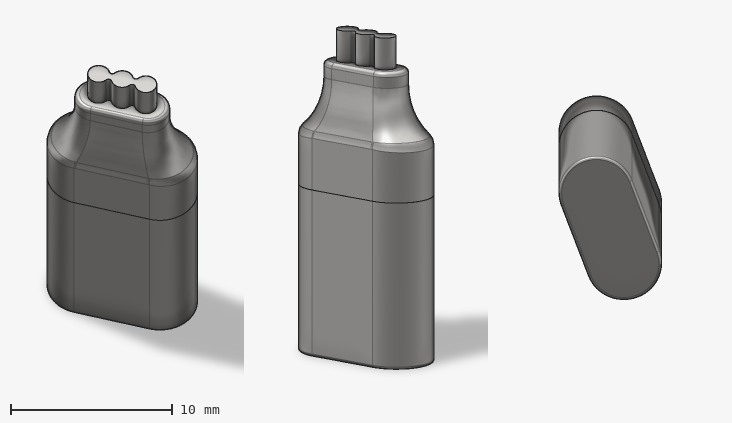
import cadquery as cq
import math

TOTAL_HEIGHT = 20.5

BODY_WIDTH = 9.5
BODY_DEPTH = 4.65

HOUSING_HEIGHT = 10.55
HOUSING_EDGE_RADIUS = 0.16

NECK_WIDTH = 6.0
NECK_DEPTH = 2.66
NECK_HEIGHT = 1.0
NECK_EDGE_RADIUS = 0.3
FLARE_HEIGHT = 3.4
FLARE_SECTIONS = 7
SHOULDER_RADIUS = 0.75

WIRE_DIAMETER = 1.35
WIRE_PITCH = 1.52
GROOVE_RADIUS = 0.2
CABLE_LENGTH = 2.0

BOOT_TOP = TOTAL_HEIGHT - CABLE_LENGTH
NECK_BOTTOM = BOOT_TOP - NECK_HEIGHT
FLARE_BOTTOM = NECK_BOTTOM - FLARE_HEIGHT

FLARE_REACH = (BODY_WIDTH - NECK_WIDTH) / 2
FLARE_RADIUS = (FLARE_HEIGHT**2 + FLARE_REACH**2) / (2 * FLARE_REACH)


def oval(width, depth, z):
    """A straight-sided oval with full round ends, lying at height z."""
    return cq.Workplane("XY").workplane(offset=z).slot2D(width, depth)


def flare_section(drop):
    """The boot's oval outline at a distance `drop` below the neck."""
    reach = FLARE_RADIUS - math.sqrt(FLARE_RADIUS**2 - drop**2)
    share = reach / FLARE_REACH
    width = NECK_WIDTH + share * (BODY_WIDTH - NECK_WIDTH)
    depth = NECK_DEPTH + share * (BODY_DEPTH - NECK_DEPTH)
    return oval(width, depth, NECK_BOTTOM - drop).val()


def make_housing():
    shell = oval(BODY_WIDTH, BODY_DEPTH, 0).extrude(HOUSING_HEIGHT)
    return shell.faces("<Z").edges().fillet(HOUSING_EDGE_RADIUS)


def make_boot():
    base = oval(BODY_WIDTH, BODY_DEPTH, HOUSING_HEIGHT).extrude(FLARE_BOTTOM - HOUSING_HEIGHT)
    neck = oval(NECK_WIDTH, NECK_DEPTH, NECK_BOTTOM).extrude(NECK_HEIGHT)
    neck = neck.faces(">Z").edges().fillet(NECK_EDGE_RADIUS)

    drops = [FLARE_HEIGHT * (1 - i / (FLARE_SECTIONS - 1)) for i in range(FLARE_SECTIONS)]
    flare = cq.Solid.makeLoft([flare_section(drop) for drop in drops])

    margin = SHOULDER_RADIUS / 10
    shoulder = cq.selectors.BoxSelector(
        (-BODY_WIDTH, -BODY_DEPTH, FLARE_BOTTOM - margin),
        (BODY_WIDTH, BODY_DEPTH, FLARE_BOTTOM + margin),
    )
    lower = base.union(cq.Workplane(flare)).edges(shoulder).fillet(SHOULDER_RADIUS)
    return lower.union(neck)


def make_cable():
    wire_radius = WIRE_DIAMETER / 2
    groove_x = WIRE_PITCH / 2
    groove_y = math.sqrt((wire_radius + GROOVE_RADIUS) ** 2 - groove_x**2)
    touch_y = groove_y * wire_radius / (wire_radius + GROOVE_RADIUS)
    touch_offset = groove_x * GROOVE_RADIUS / (wire_radius + GROOVE_RADIUS)

    level = cq.Workplane("XY").workplane(offset=BOOT_TOP)
    wire_centers = [(-WIRE_PITCH, 0), (0, 0), (WIRE_PITCH, 0)]
    wires = level.pushPoints(wire_centers).circle(wire_radius).extrude(CABLE_LENGTH)

    web_centers = [(-groove_x, 0), (groove_x, 0)]
    webs = level.pushPoints(web_centers).rect(2 * touch_offset, 2 * touch_y).extrude(CABLE_LENGTH)
    groove_centers = [(x, side * groove_y) for x, _ in web_centers for side in (-1, 1)]
    grooves = level.pushPoints(groove_centers).circle(GROOVE_RADIUS).extrude(CABLE_LENGTH)
    return wires.union(webs).cut(grooves)


housing = make_housing()
boot = make_boot()
cable = make_cable()

result = cq.Compound.makeCompound([body.solids().val() for body in (housing, boot, cable)])